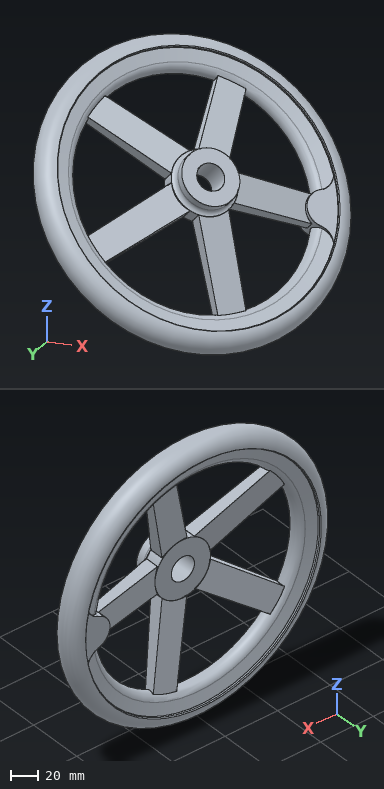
import cadquery as cq
import math

WHEEL_DIAMETER = 250.0
OVERALL_DEPTH = 50.0

SEAM_RADIUS = 112.0
GRIP_RADIUS = WHEEL_DIAMETER / 2 - SEAM_RADIUS
WEB_OUTER_RADIUS = 111.3
GRIP_CHAMFER_DEPTH = 1.0
RIM_INNER_RADIUS = 95.0
WEB_NOSE_RADIUS = 7.9
WEB_TAPER = math.radians(14.0)

HUB_FRONT = GRIP_RADIUS - OVERALL_DEPTH
HUB_NOSE_RADIUS = 46.0 / 2
HUB_BODY_RADIUS = 53.0 / 2
BORE_RADIUS = 22.0 / 2
HUB_NOSE_LENGTH = 7.5
HUB_FILLET_LENGTH = 4.5
HUB_LENGTH = 26.0
HUB_SHOULDER = HUB_FRONT + HUB_NOSE_LENGTH + HUB_FILLET_LENGTH
HUB_BACK = HUB_FRONT + HUB_LENGTH

SPOKE_COUNT = 5
SPOKE_ROOT_RADIUS = 22.7
SPOKE_TIP_RADIUS = 100.0
SPOKE_ROOT_WIDTH = 25.0
SPOKE_TIP_WIDTH = 23.4
SPOKE_ROOT_THICKNESS = 13.0
SPOKE_TIP_THICKNESS = 9.0
SPOKE_SLOPE = 0.275

BOSS_RADIUS = 15.0
BOSS_CENTRE = 101.8
BOSS_FILLET_RADIUS = 14.0
BOSS_HALF_DEPTH = 10.5


def revolved(profile):
    """Revolve a (radius, Y) profile about the Y axis."""
    return profile.close().revolve(360, (0, 0, 0), (0, 1, 0))


def make_rim():
    nose_centre = RIM_INNER_RADIUS + WEB_NOSE_RADIUS
    web_start_radius = nose_centre - WEB_NOSE_RADIUS * math.sin(WEB_TAPER)
    web_start_y = WEB_NOSE_RADIUS * math.cos(WEB_TAPER)
    web_end_y = web_start_y + (WEB_OUTER_RADIUS - web_start_radius) * math.tan(WEB_TAPER)
    wall_end_y = GRIP_RADIUS - GRIP_CHAMFER_DEPTH
    profile = (
        cq.Workplane("XY")
        .moveTo(SEAM_RADIUS, -GRIP_RADIUS)
        .threePointArc((SEAM_RADIUS + GRIP_RADIUS, 0), (SEAM_RADIUS, GRIP_RADIUS))
        .lineTo(WEB_OUTER_RADIUS, wall_end_y)
        .lineTo(WEB_OUTER_RADIUS, web_end_y)
        .lineTo(web_start_radius, web_start_y)
        .threePointArc((RIM_INNER_RADIUS, 0), (web_start_radius, -web_start_y))
        .lineTo(WEB_OUTER_RADIUS, -web_end_y)
        .lineTo(WEB_OUTER_RADIUS, -wall_end_y)
    )
    return revolved(profile)


def make_hub():
    nose_end = HUB_FRONT + HUB_NOSE_LENGTH
    fillet_width = HUB_BODY_RADIUS - HUB_NOSE_RADIUS
    mid_radius = HUB_BODY_RADIUS - fillet_width * math.cos(math.pi / 4)
    mid_y = nose_end + HUB_FILLET_LENGTH * math.sin(math.pi / 4)
    profile = (
        cq.Workplane("XY")
        .moveTo(0, HUB_FRONT)
        .lineTo(HUB_NOSE_RADIUS, HUB_FRONT)
        .lineTo(HUB_NOSE_RADIUS, nose_end)
        .threePointArc((mid_radius, mid_y), (HUB_BODY_RADIUS, HUB_SHOULDER))
        .lineTo(HUB_BODY_RADIUS, HUB_BACK)
        .lineTo(0, HUB_BACK)
    )
    return revolved(profile)


def make_spoke():
    """Build the spoke lying along +X as a loft from the hub section to the rim section."""
    tip_front = HUB_SHOULDER + SPOKE_SLOPE * (SPOKE_TIP_RADIUS - SPOKE_ROOT_RADIUS)
    root_centre = HUB_SHOULDER + SPOKE_ROOT_THICKNESS / 2
    tip_centre = tip_front + SPOKE_TIP_THICKNESS / 2
    return (
        cq.Workplane("YZ", origin=(SPOKE_ROOT_RADIUS, root_centre, 0))
        .rect(SPOKE_ROOT_THICKNESS, SPOKE_ROOT_WIDTH)
        .workplane(offset=SPOKE_TIP_RADIUS - SPOKE_ROOT_RADIUS)
        .center(tip_centre - root_centre, 0)
        .rect(SPOKE_TIP_THICKNESS, SPOKE_TIP_WIDTH)
        .loft(ruled=True)
    )


def make_handle_boss():
    """Build the boss whose sides run out through concave arcs into the seam circle."""
    to_boss = BOSS_RADIUS + BOSS_FILLET_RADIUS
    to_axis = SEAM_RADIUS - BOSS_FILLET_RADIUS
    fillet_x = (BOSS_CENTRE**2 + to_axis**2 - to_boss**2) / (2 * BOSS_CENTRE)
    fillet_z = math.sqrt(to_axis**2 - fillet_x**2)

    boss_touch_x = BOSS_CENTRE + (fillet_x - BOSS_CENTRE) * BOSS_RADIUS / to_boss
    boss_touch_z = fillet_z * BOSS_RADIUS / to_boss
    seam_touch_x = fillet_x * SEAM_RADIUS / to_axis
    seam_touch_z = fillet_z * SEAM_RADIUS / to_axis

    toward_x = (boss_touch_x + seam_touch_x) / 2 - fillet_x
    toward_z = (boss_touch_z + seam_touch_z) / 2 - fillet_z
    stretch = BOSS_FILLET_RADIUS / math.hypot(toward_x, toward_z)
    mid_x = fillet_x + toward_x * stretch
    mid_z = fillet_z + toward_z * stretch

    return (
        cq.Workplane("XZ")
        .moveTo(seam_touch_x, -seam_touch_z)
        .threePointArc((SEAM_RADIUS, 0), (seam_touch_x, seam_touch_z))
        .threePointArc((mid_x, mid_z), (boss_touch_x, boss_touch_z))
        .threePointArc((BOSS_CENTRE - BOSS_RADIUS, 0), (boss_touch_x, -boss_touch_z))
        .threePointArc((mid_x, -mid_z), (seam_touch_x, -seam_touch_z))
        .close()
        .extrude(BOSS_HALF_DEPTH, both=True)
    )


def make_bore():
    return cq.Workplane("XZ").circle(BORE_RADIUS).extrude(OVERALL_DEPTH, both=True)


def make_handwheel():
    wheel = make_rim().union(make_hub())
    spoke = make_spoke()
    for index in range(SPOKE_COUNT):
        angle = index * 360.0 / SPOKE_COUNT
        wheel = wheel.union(spoke.rotate((0, 0, 0), (0, 1, 0), angle))
    return wheel.union(make_handle_boss()).cut(make_bore())


result = make_handwheel()